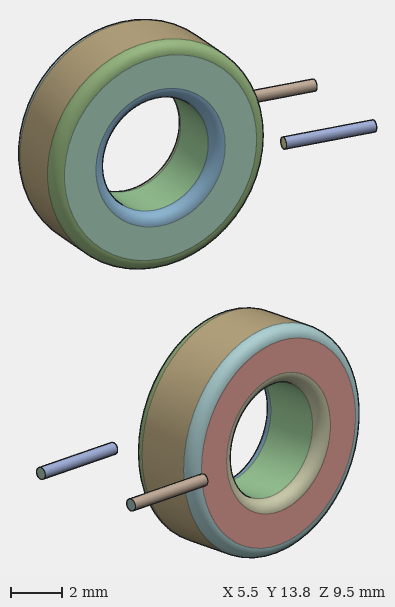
import cadquery as cq

core_diameter = 9.5
bore_diameter = 4.75
core_width = 3.3
edge_radius = 0.5

overall_length = 13.75
overall_width = 5.5
pin_diameter = 0.5
pin_length = 4.0
pin_spacing = overall_width - pin_diameter
pin_end_y = overall_length - core_diameter / 2
pin_start_y = pin_end_y - pin_length


def make_core():
    """Ring with all four circular edges rounded."""
    return (
        cq.Workplane("YZ", origin=(-core_width / 2, 0, 0))
        .circle(core_diameter / 2)
        .circle(bore_diameter / 2)
        .extrude(core_width)
        .faces("<X or >X")
        .edges()
        .fillet(edge_radius)
    )


def make_pin(x):
    """Plain round pin running in +Y at the given X position."""
    start = cq.Vector(x, pin_start_y, 0)
    return cq.Solid.makeCylinder(pin_diameter / 2, pin_length, start, cq.Vector(0, 1, 0))


core = make_core()
pins = [make_pin(side * pin_spacing / 2) for side in (-1, 1)]

result = cq.Compound.makeCompound([core.val(), *pins])